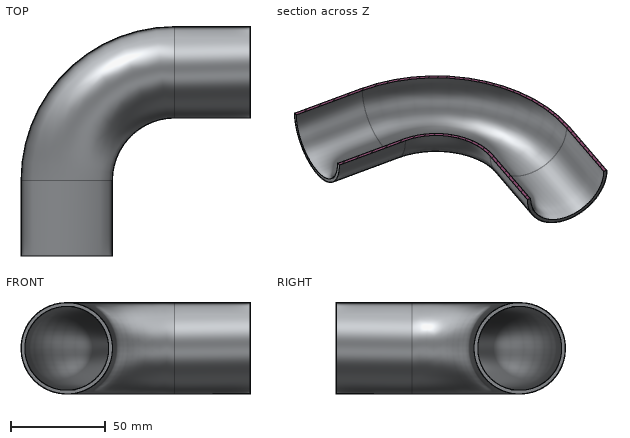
import cadquery as cq

outer_diameter = 48.3
wall_thickness = 2.0
bend_radius = 57.0
leg_length = 40.0

bore_diameter = outer_diameter - 2 * wall_thickness
bend_angle = 90


def tube_section(plane):
    """Annular pipe section centred on the given plane."""
    return cq.Workplane(plane).circle(outer_diameter / 2).circle(bore_diameter / 2)


def leg(start, direction):
    """Straight pipe leg running from start along direction."""
    plane = cq.Plane(origin=start, xDir=(0, 0, 1), normal=direction)
    return tube_section(plane).extrude(leg_length)


def bend(start):
    """Quarter-torus pipe turning from +Y at start round to +X."""
    plane = cq.Plane(origin=start, xDir=(1, 0, 0), normal=(0, -1, 0))
    axis_start = (bend_radius, 0)
    axis_end = (bend_radius, -1)
    return tube_section(plane).revolve(bend_angle, axis_start, axis_end)


inlet_start = (0, 0, 0)
bend_start = (0, leg_length, 0)
outlet_start = (bend_radius, leg_length + bend_radius, 0)

inlet_leg = leg(inlet_start, (0, 1, 0))
outlet_leg = leg(outlet_start, (1, 0, 0))

result = inlet_leg.union(bend(bend_start)).union(outlet_leg)